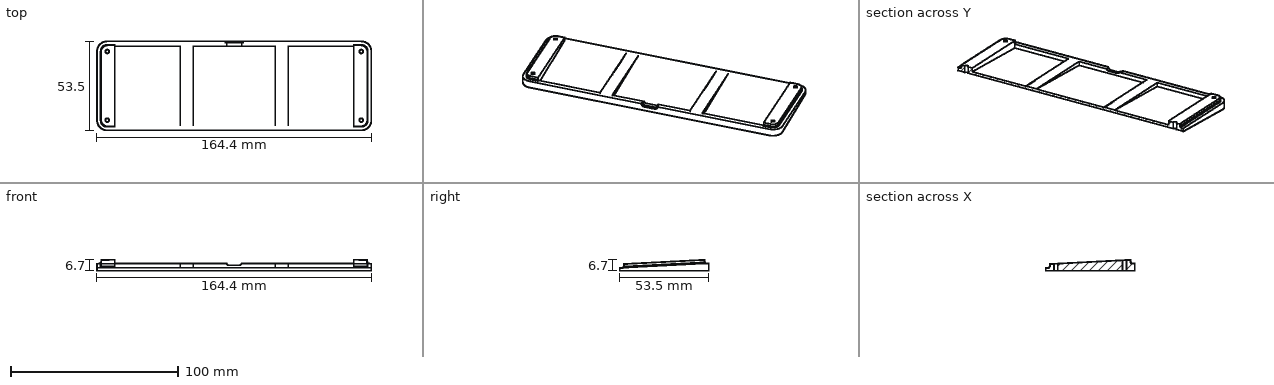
import cadquery as cq
import math

length = 164.4
width = 53.5
front_height = 1.8
tilt = math.radians(3)

total_height = 6.7
foot_margin = 2.1
foot_corner_diameter = 8.0
foot_inner_x = 71.5
ledge_height = 0.74
ledge_width = 0.41

hole_diameter = 2.1

pocket_floor = 2.0
pocket_margin = 3.0
middle_pocket_width = 49.3
pocket_wall = 7.7

notch_width = 9.0
notch_floor = 3.5
notch_radius = 1.5
flare_size = 0.8
flare_depth = 0.8

slope = math.tan(tilt)
half_length = length / 2
half_width = width / 2
foot_corner_radius = foot_corner_diameter / 2
corner_radius = foot_corner_radius + foot_margin
hole_x = half_length - corner_radius
hole_y = half_width - corner_radius
foot_back_y = half_width - foot_margin - ledge_width
foot_rise = total_height - front_height - slope * (foot_back_y + half_width)


def rounded_block(size_x, size_y, radius):
    block = cq.Workplane("XY").rect(size_x, size_y).extrude(total_height)
    return block.edges("|Z").fillet(radius)


def below_slope(rise):
    """Wedge filling the space up to the sloped plane, raised by the given amount."""
    front = front_height + rise
    back = front + slope * width
    outline = [(-half_width, 0), (half_width, 0), (half_width, back), (-half_width, front)]
    return cq.Workplane("YZ").polyline(outline).close().extrude(half_length, both=True)


def foot_layer(inset, rise):
    """Both feet, cut from one rounded block and trimmed to the raised slope."""
    margin = 2 * (foot_margin + inset)
    block = rounded_block(length - margin, width - margin, foot_corner_radius - inset)
    gap = cq.Workplane("XY").box(2 * foot_inner_x, width, 2 * total_height)
    return block.cut(gap).intersect(below_slope(rise))


def pocket(x_start, x_end):
    return (
        cq.Workplane("XY", origin=((x_start + x_end) / 2, 0, pocket_floor))
        .rect(x_end - x_start, width - 2 * pocket_margin)
        .extrude(total_height)
    )


def notch_channel(growth, depth):
    """Channel with rounded lower corners, cut inward from the back edge."""
    floor = notch_floor - growth
    channel = cq.Workplane("XY").box(
        notch_width + 2 * growth, depth, total_height, centered=(True, False, False)
    )
    channel = channel.edges("|Y and <Z").fillet(notch_radius + growth)
    return channel.translate((0, half_width - depth, floor))


plate = rounded_block(length, width, corner_radius).intersect(below_slope(0))

middle_edge = middle_pocket_width / 2
side_edge = middle_edge + pocket_wall
plate = plate.cut(pocket(-middle_edge, middle_edge))
for x_start, x_end in [(-foot_inner_x, -side_edge), (side_edge, foot_inner_x)]:
    plate = plate.cut(pocket(x_start, x_end))

plate = plate.cut(notch_channel(0, pocket_margin))
plate = plate.cut(notch_channel(flare_size, flare_depth))

plate = plate.union(foot_layer(0, ledge_height))
plate = plate.union(foot_layer(ledge_width, foot_rise))

holes = (
    cq.Workplane("XY")
    .rect(2 * hole_x, 2 * hole_y, forConstruction=True)
    .vertices()
    .circle(hole_diameter / 2)
    .extrude(total_height)
)
result = plate.cut(holes)